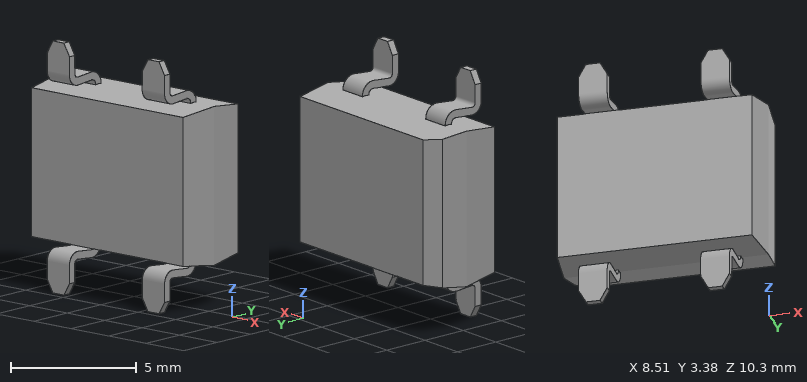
import cadquery as cq
import math

body_width = 8.51
body_height = 6.5
half_depth = 1.65
face_inset = 0.21
taper = math.degrees(math.atan2(face_inset, half_depth))

bevel_width = 0.54
bevel_depth = 0.5

overall_height = 10.3
lead_pitch = 5.08
lead_width = 1.19
lead_thickness = 0.33
lead_front = -1.73
root_depth = 0.52
root_bend = 0.38
foot_bend = 0.32
lead_slope = math.radians(5)
tip_width = lead_width / 2
tip_length = 0.52


def make_body():
    front = cq.Workplane("XZ").rect(body_width, body_height).extrude(half_depth, taper=taper)
    back = front.mirror("XZ")
    return front.union(back)


def make_bevel_cutter():
    corner_x = -body_width / 2 + face_inset
    taper_run = face_inset / half_depth
    inner = (corner_x + bevel_width, half_depth)
    outer = (corner_x - bevel_depth * taper_run, half_depth - bevel_depth)
    run_x = inner[0] - outer[0]
    run_y = inner[1] - outer[1]
    past_inner = (inner[0] + run_x, inner[1] + run_y)
    past_outer = (outer[0] - run_x, outer[1] - run_y)
    return (
        cq.Workplane("XY")
        .polyline([past_inner, past_outer, (past_outer[0], past_inner[1])])
        .close()
        .extrude(body_height / 2, both=True)
    )


def make_strip():
    foot_y = lead_front + lead_thickness / 2
    root_z = body_height / 2
    root_center_y = -root_bend
    foot_center_y = foot_y + foot_bend
    bend_sum = root_bend + foot_bend
    slope_run = root_center_y - foot_center_y - bend_sum * math.sin(lead_slope)
    foot_center_z = root_z + bend_sum * math.cos(lead_slope) - slope_run * math.tan(lead_slope)

    def root_point(angle):
        return (root_center_y + root_bend * math.cos(angle), root_z + root_bend * math.sin(angle))

    def foot_point(angle):
        return (foot_center_y + foot_bend * math.cos(angle), foot_center_z + foot_bend * math.sin(angle))

    root_end = math.pi / 2 + lead_slope
    foot_start = -math.pi / 2 + lead_slope
    foot_end = -math.pi
    path = (
        cq.Workplane("YZ")
        .moveTo(0, root_z - root_depth)
        .lineTo(0, root_z)
        .threePointArc(root_point(root_end / 2), root_point(root_end))
        .lineTo(*foot_point(foot_start))
        .threePointArc(foot_point((foot_start + foot_end) / 2), foot_point(foot_end))
        .lineTo(foot_y, overall_height / 2)
    )
    return (
        cq.Workplane("XY", origin=(0, 0, root_z - root_depth))
        .rect(lead_width, lead_thickness)
        .sweep(path)
    )


def make_lead():
    top = overall_height / 2
    shoulder = top - tip_length
    outline = (
        cq.Workplane("XZ")
        .polyline([
            (-lead_width / 2, 0),
            (-lead_width / 2, shoulder),
            (-tip_width / 2, top),
            (tip_width / 2, top),
            (lead_width / 2, shoulder),
            (lead_width / 2, 0),
        ])
        .close()
        .extrude(2 * half_depth, both=True)
    )
    return make_strip().intersect(outline)


result = make_body().cut(make_bevel_cutter())
upper_lead = make_lead()
lower_lead = upper_lead.mirror("XY")
for lead_x in (-lead_pitch / 2, lead_pitch / 2):
    for lead in (upper_lead, lower_lead):
        result = result.union(lead.translate((lead_x, 0, 0)))